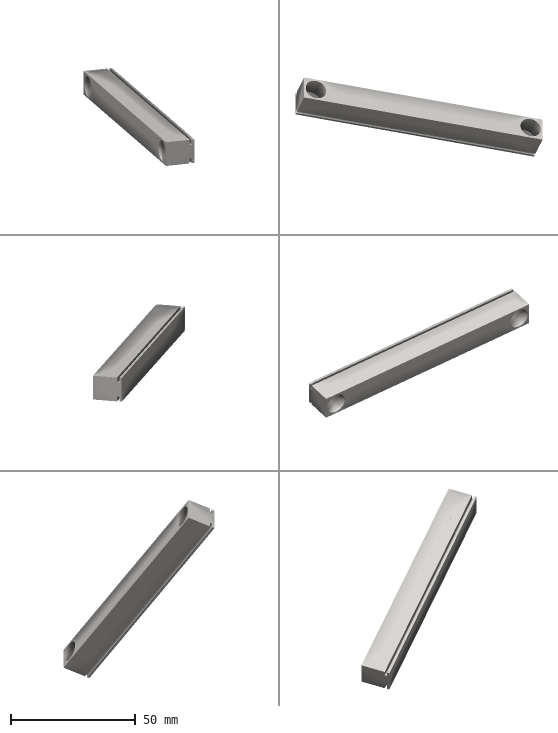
import cadquery as cq

LENGTH = 100.0
DEPTH = 12.0
HEIGHT = 10.0

FLANGE_THICKNESS = 1.0
GROOVE_WIDTH = 1.0
GROOVE_DEPTH = 2.0

HOLE_DIAMETER = 8.5
HOLE_END_DISTANCE = 5.0
HOLE_DEPTH = 8.0


def make_bar():
    """Plain bar with one corner at the origin."""
    return cq.Workplane("XY").box(LENGTH, DEPTH, HEIGHT, centered=False)


def make_groove(bottom_z):
    """Full-length groove cutter in front of the back flange."""
    front_y = DEPTH - FLANGE_THICKNESS - GROOVE_WIDTH
    return (
        cq.Workplane("XY")
        .box(LENGTH, GROOVE_WIDTH, GROOVE_DEPTH, centered=False)
        .translate((0, front_y, bottom_z))
    )


def make_hole(center_x):
    """Flat-bottomed hole cutter running back from the front face."""
    return (
        cq.Workplane("XZ")
        .center(center_x, HEIGHT / 2)
        .circle(HOLE_DIAMETER / 2)
        .extrude(-HOLE_DEPTH)
    )


result = make_bar()

for groove_z in (0, HEIGHT - GROOVE_DEPTH):
    result = result.cut(make_groove(groove_z))

for hole_x in (HOLE_END_DISTANCE, LENGTH - HOLE_END_DISTANCE):
    result = result.cut(make_hole(hole_x))